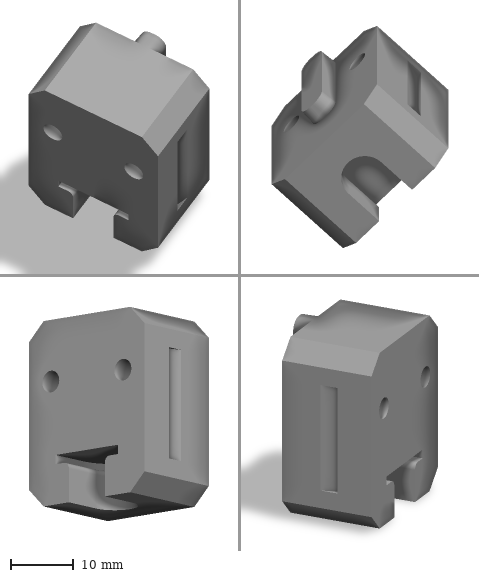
import cadquery as cq

width = 24.0
height = 30.0
overall_depth = 18.57
key_height = 2.8
body_depth = overall_depth - key_height
bevel = 3.0

hole_diameter = 3.5
hole_spacing = 15.0
hole_z = 20.0

head_width = 13.0
head_bottom = 6.5
head_top = 8.0
neck_width = 7.5
neck_lip_radius = 1.0
slot_depth = 6.8

ramp_height = 18.0
ramp_length = 3.0
ramp_depth = 1.0
ramp_back_offset = 6.78

key_width = 5.0
key_length = 20.0
key_corner_radius = 1.98
key_taper_inset = 0.195


def make_body():
    block = cq.Workplane("XY").box(width, body_depth, height, centered=(True, False, False))
    return block.edges("|Y").chamfer(bevel)


def make_holes():
    plane = cq.Workplane("XZ", origin=(0, body_depth, hole_z))
    return plane.rarray(hole_spacing, 0.3, 2, 1).circle(hole_diameter / 2).extrude(body_depth)


def round_ended_slot(slot_width, bottom, top):
    """Straight slot from the front face, ending in a half circle centred at the slot depth."""
    radius = slot_width / 2
    return (
        cq.Workplane("XY", origin=(0, 0, bottom))
        .moveTo(-radius, 0)
        .lineTo(-radius, slot_depth)
        .threePointArc((0, slot_depth + radius), (radius, slot_depth))
        .lineTo(radius, 0)
        .close()
        .extrude(top - bottom)
    )


def key_outline(plane, inset):
    """Rectangular outline with its upper side level with the top of the body, inset on the other sides."""
    length = key_length - inset
    return plane.center(0, height - length / 2).rect(key_width - 2 * inset, length)


def make_key():
    base = key_outline(cq.Workplane("XZ", origin=(0, body_depth, 0)), 0)
    tip_plane = base.workplane(offset=-key_height, origin=(0, body_depth, 0))
    key = key_outline(tip_plane, key_taper_inset).loft(ruled=True)
    return key.edges("not(|X or |Z)").fillet(key_corner_radius)


def make_ramp():
    """Wedge removed from the -X side."""
    back = body_depth - ramp_back_offset
    front = back - ramp_length
    return (
        cq.Workplane("XY", origin=(-width / 2, 0, (height - ramp_height) / 2))
        .polyline([(0, back), (0, front), (ramp_depth, front)])
        .close()
        .extrude(ramp_height)
    )


def round_neck_lip(body):
    """Round the rim where the neck meets the floor of the head; the fillet follows the whole rim."""
    rim_point = (neck_width / 2, slot_depth / 2, head_bottom)
    return body.edges(cq.selectors.NearestToPointSelector(rim_point)).fillet(neck_lip_radius)


neck = round_ended_slot(neck_width, 0, head_bottom)
head = round_ended_slot(head_width, head_bottom, head_top)
ramp = make_ramp()

slotted_body = round_neck_lip(make_body().cut(neck).cut(head))
drilled_body = slotted_body.cut(make_holes())
gripped_body = drilled_body.cut(ramp).cut(ramp.mirror("YZ"))
result = gripped_body.union(make_key())